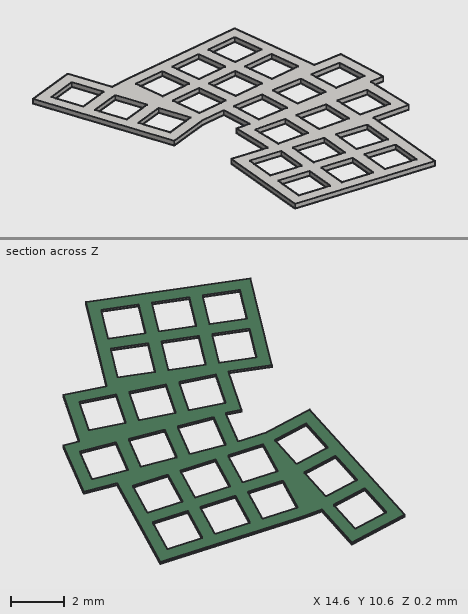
import cadquery as cq
import math

thickness = 0.2
opening = 1.4
pitch = 1.91
border = 0.5

main_grid = (-3.28, 0.87, 0, 2, 3)
inner_column = (-0.22, 2.1, -4, 1, 3)
middle_column = (1.84, 1.25, -8, 1, 3)
outer_grid = (4.53, -0.93, -12, 2, 3)
thumb_row = (-4.01, -3.45, 12, 3, 1)
key_groups = [main_grid, inner_column, middle_column, outer_grid, thumb_row]

bridge_lean = 0.05


def group_plane(group):
    """Workplane at the centre of a key group, turned with the group."""
    x, y, angle, _, _ = group
    return cq.Workplane("XY").center(x, y).transformed(rotate=(0, 0, angle))


def group_length(count):
    """Outer length of a run of keys including the border at both ends."""
    return (count - 1) * pitch + opening + 2 * border


def group_panel(group):
    """Solid rectangle that surrounds all the keys of a group."""
    columns, rows = group[3:]
    return group_plane(group).rect(group_length(columns), group_length(rows)).extrude(thickness)


def group_openings(group):
    """Square cutters for all the keys of a group."""
    columns, rows = group[3:]
    return group_plane(group).rarray(pitch, pitch, columns, rows).rect(opening, opening).extrude(thickness)


def thumb_top_edge(x):
    """Y of the upper edge of the thumb row at a given X."""
    center_x, center_y, angle, _, rows = thumb_row
    slope_angle = math.radians(angle)
    rise = group_length(rows) / 2 / math.cos(slope_angle)
    return center_y + rise + (x - center_x) * math.tan(slope_angle)


def main_panel():
    """Main grid panel whose lower left edge leans inward and ends on the thumb row."""
    center_x, center_y, _, columns, rows = main_grid
    half_width = group_length(columns) / 2
    half_height = group_length(rows) / 2
    left = center_x - half_width
    right = center_x + half_width
    top = center_y + half_height
    bottom = center_y - half_height
    foot_x = left + bridge_lean
    outline = [
        (left, top),
        (right, top),
        (right, bottom),
        (foot_x, thumb_top_edge(foot_x)),
        (left, bottom + border),
    ]
    return cq.Workplane("XY").polyline(outline).close().extrude(thickness)


result = main_panel()
for group in [inner_column, middle_column, outer_grid, thumb_row]:
    result = result.union(group_panel(group))
for group in key_groups:
    result = result.cut(group_openings(group))